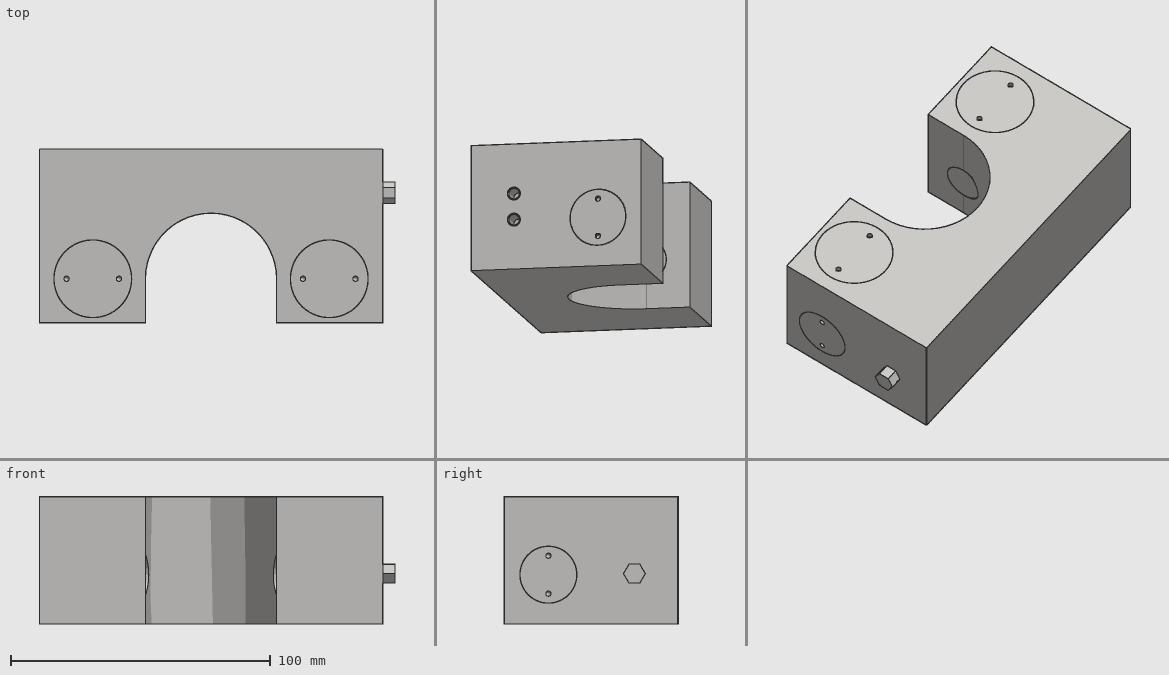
import cadquery as cq
import math

OVERALL_LENGTH = 137.0
BLOCK_LENGTH = 132.2
BLOCK_DEPTH = 67.0
BLOCK_HEIGHT = 49.0
BACK_CHAMFER = 0.3
HALF_LENGTH = BLOCK_LENGTH / 2

SLOT_RADIUS = 25.2
SLOT_CENTRE_Y = 17.0

PLUG_CLEARANCE = 0.1
GROOVE_DEPTH = 1.0
TOP_BORE_DIAMETER = 30.0
TOP_PLUG_X = 45.5
TOP_PIN_SPACING = 20.2
SIDE_BORE_DIAMETER = 22.0
SIDE_PLUG_Z = 19.0
SIDE_PIN_SPACING = 14.6

PIN_HOLE_DIAMETER = 2.0
PIN_HOLE_DEPTH = 2.0
DRILL_POINT_ANGLE = 118.0

PISTON_BORE_DIAMETER = 15.6

PORT_DIAMETER = 4.13
PORT_MOUTH_DIAMETER = 5.0
PORT_MOUTH_DEPTH = 0.5
PORT_DEPTH = 10.0
PORT_Y = 50.1
PORT_A_Z = 19.4
PORT_B_Z = BLOCK_HEIGHT - PORT_A_Z
HEX_ACROSS_CORNERS = 8.38
HEX_LENGTH = OVERALL_LENGTH - BLOCK_LENGTH

OVERLAP = 1.0


def face_plane(origin, x_direction, outward):
    """Work plane on a face, with its normal pointing out of the material."""
    return cq.Plane(origin=origin, xDir=x_direction, normal=outward)


def slotted_block():
    block = cq.Workplane("XY").box(
        BLOCK_LENGTH, BLOCK_DEPTH, BLOCK_HEIGHT, centered=(True, False, False)
    )
    block = block.edges("|Z and >Y").chamfer(BACK_CHAMFER)
    slot = (
        cq.Workplane("XY")
        .moveTo(-SLOT_RADIUS, -OVERLAP)
        .lineTo(-SLOT_RADIUS, SLOT_CENTRE_Y)
        .threePointArc((0, SLOT_CENTRE_Y + SLOT_RADIUS), (SLOT_RADIUS, SLOT_CENTRE_Y))
        .lineTo(SLOT_RADIUS, -OVERLAP)
        .close()
        .extrude(BLOCK_HEIGHT)
    )
    return block.cut(slot)


def clearance_groove(plane, bore_diameter):
    """Ring-shaped gap between a bore and the plug inside it."""
    bore_radius = bore_diameter / 2
    return (
        cq.Workplane(plane)
        .circle(bore_radius)
        .circle(bore_radius - PLUG_CLEARANCE)
        .extrude(-GROOVE_DEPTH)
    )


def pin_holes(plane, spacing):
    """Two drilled holes with conical bottoms, spaced along the plane's x direction."""
    radius = PIN_HOLE_DIAMETER / 2
    point_depth = radius / math.tan(math.radians(DRILL_POINT_ANGLE / 2))
    inward = cq.Vector(0, 0, -1)
    shank = cq.Solid.makeCylinder(radius, PIN_HOLE_DEPTH, dir=inward)
    point = cq.Solid.makeCone(radius, 0, point_depth, pnt=cq.Vector(0, 0, -PIN_HOLE_DEPTH), dir=inward)
    drill = shank.fuse(point)
    return [
        drill.moved(cq.Location(plane) * cq.Location(cq.Vector(x, 0, 0)))
        for x in (-spacing / 2, spacing / 2)
    ]


def cut_plug(body, plane, bore_diameter, pin_spacing):
    body = body.cut(clearance_groove(plane, bore_diameter))
    for hole in pin_holes(plane, pin_spacing):
        body = body.cut(cq.Workplane(hole))
    return body


def fit_piston(body, side):
    """Flat piston face level with the straight slot wall, inside a bore that meets the arc."""
    plane = face_plane((side * SLOT_RADIUS, SLOT_CENTRE_Y, SIDE_PLUG_Z), (0, 1, 0), (-side, 0, 0))
    bore_radius = PISTON_BORE_DIAMETER / 2
    bore_bottom = cq.Workplane(plane).workplane(offset=-GROOVE_DEPTH)
    bore = bore_bottom.circle(bore_radius).extrude(GROOVE_DEPTH + SLOT_RADIUS / 2)
    piston = (
        cq.Workplane(plane)
        .workplane(offset=-GROOVE_DEPTH - OVERLAP)
        .circle(bore_radius - PLUG_CLEARANCE)
        .extrude(GROOVE_DEPTH + OVERLAP)
    )
    return body.cut(bore).union(piston)


def port(height):
    """Blind port with a shallow counterbore at its mouth."""
    plane = face_plane((-HALF_LENGTH, PORT_Y, height), (0, -1, 0), (-1, 0, 0))
    bore = cq.Workplane(plane).circle(PORT_DIAMETER / 2).extrude(-PORT_DEPTH)
    mouth = cq.Workplane(plane).circle(PORT_MOUTH_DIAMETER / 2).extrude(-PORT_MOUTH_DEPTH)
    return bore.union(mouth)


def hexagon_plug():
    plane = face_plane((HALF_LENGTH - OVERLAP, PORT_Y, PORT_A_Z), (0, 1, 0), (1, 0, 0))
    return cq.Workplane(plane).polygon(6, HEX_ACROSS_CORNERS).extrude(HEX_LENGTH + OVERLAP)


result = slotted_block()
for side in (-1, 1):
    top_plane = face_plane((side * TOP_PLUG_X, SLOT_CENTRE_Y, BLOCK_HEIGHT), (1, 0, 0), (0, 0, 1))
    result = cut_plug(result, top_plane, TOP_BORE_DIAMETER, TOP_PIN_SPACING)
    side_plane = face_plane((side * HALF_LENGTH, SLOT_CENTRE_Y, SIDE_PLUG_Z), (0, 0, 1), (side, 0, 0))
    result = cut_plug(result, side_plane, SIDE_BORE_DIAMETER, SIDE_PIN_SPACING)
    result = fit_piston(result, side)
for port_height in (PORT_A_Z, PORT_B_Z):
    result = result.cut(port(port_height))
result = result.union(hexagon_plug())